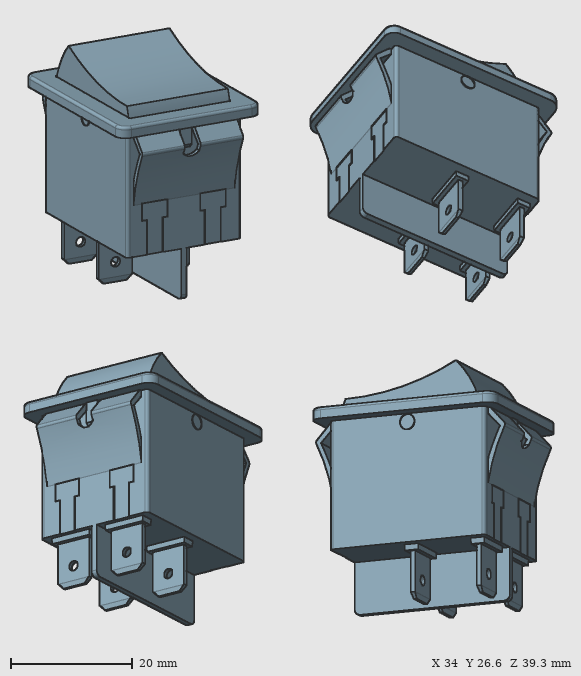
import cadquery as cq
import math

body_bottom = 8.95
flange_bottom = 30.7
flange_thickness = 2.0
flange_top = flange_bottom + flange_thickness
rocker_peak = 39.25

body_length = 27.95
body_width = 21.6
body_corner_radius = 0.6
body_end = body_length / 2
flange_length = 33.0
flange_width = 26.6
flange_corner_radius = 1.95
flange_edge_radius = 0.5
pip_diameter = 2.6
pip_height = 0.15
pip_z = 29.3

rocker_width = 19.05
rocker_radius = 12.6
pivot_z = 29.83
rocker_peak_x = -8.15
rocker_flank_x = -10.87
rocker_flank_z = 35.7
rocker_flank_foot_z = 31.25
rocker_low_end_x = 11.7
rocker_dish_x = 1.57
rocker_dish_z = 35.68
slot_length = 25.5
slot_corner_radius = 0.295

clip_half_span = 17.0
clip_foot_z = 17.98
clip_embed = 0.4
clip_outer_top = (-14.35, flange_bottom)
clip_bend_start = (-16.88, 27.95)
clip_bend_tip = (-clip_half_span, 27.65)
clip_bend_end = (-16.9, 27.3)
clip_outer_middle = (-15.15, 22.92)
clip_inner_middle = (-14.68, 24.18)
clip_inner_bend = (-16.1, 27.45)
clip_inner_foot_z = 21.0
clip_inner_top_z = 30.03
clip_notch_width = 3.0
clip_notch_side_z = 26.5
clip_notch_bottom_z = 25.63
catch_width = 2.2
catch_depth = 0.65
catch_bottom = 26.45

recess_y = 5.5
recess_depth = 0.1
recess_head_width = 4.8
recess_head_bottom = 14.95
recess_stem_width = 2.9
recess_step_width = 0.15

terminal_columns = (-11.9, 0.0)
terminal_y = 5.38
pad_length = 2.47
pad_width = 7.58
pad_height = 1.0
pad_draft_angle = 4.0
blade_thickness = 0.8
blade_width = 6.28
blade_tip_height = 1.0
blade_tip_bevel = 0.137
blade_hole_diameter = 1.7
blade_hole_z = 3.55
wall_thickness = 1.02
wall_corner_radius = 1.0


def make_housing():
    """Rounded body with the flange on top and a round pip on each long side."""
    body = (
        cq.Workplane("XY", origin=(0, 0, body_bottom))
        .rect(body_length, body_width)
        .extrude(flange_bottom - body_bottom)
        .edges("|Z")
        .fillet(body_corner_radius)
    )
    flange = (
        cq.Workplane("XY", origin=(0, 0, flange_bottom))
        .rect(flange_length, flange_width)
        .extrude(flange_thickness)
        .edges("|Z")
        .fillet(flange_corner_radius)
        .faces(">Z")
        .edges()
        .fillet(flange_edge_radius)
    )
    pips = (
        cq.Workplane("XZ", origin=(0, 0, pip_z))
        .circle(pip_diameter / 2)
        .extrude(body_width / 2 + pip_height, both=True)
    )
    return body.union(flange).union(pips)


def make_rocker_slot():
    """Opening in the flange, sunk to the level of the rocker pivot."""
    return (
        cq.Workplane("XY", origin=(0, 0, pivot_z))
        .rect(slot_length, rocker_width)
        .extrude(flange_top - pivot_z)
        .edges("|Z")
        .fillet(slot_corner_radius)
    )


def make_rocker():
    """Tilted rocker: bulging high end, dished top, low end round about the pivot."""
    def low_end_z(x):
        return pivot_z + math.sqrt(rocker_radius**2 - x**2)

    low_end_middle_x = (rocker_low_end_x + rocker_radius) / 2
    return (
        cq.Workplane("XZ")
        .moveTo(-rocker_radius, pivot_z)
        .lineTo(-rocker_radius, rocker_flank_foot_z)
        .threePointArc((rocker_flank_x, rocker_flank_z), (rocker_peak_x, rocker_peak))
        .threePointArc((rocker_dish_x, rocker_dish_z), (rocker_low_end_x, low_end_z(rocker_low_end_x)))
        .threePointArc((low_end_middle_x, low_end_z(low_end_middle_x)), (rocker_radius, pivot_z))
        .close()
        .extrude(rocker_width / 2, both=True)
    )


def make_clip():
    """Bent spring clip on the -X end, notched in the middle of its upper part."""
    root_x = -body_end + clip_embed
    strip = (
        cq.Workplane("XZ")
        .moveTo(root_x, flange_bottom)
        .lineTo(*clip_outer_top)
        .lineTo(*clip_bend_start)
        .threePointArc(clip_bend_tip, clip_bend_end)
        .threePointArc(clip_outer_middle, (-body_end, clip_foot_z))
        .lineTo(root_x, clip_foot_z)
        .lineTo(root_x, clip_inner_foot_z)
        .threePointArc(clip_inner_middle, clip_inner_bend)
        .lineTo(root_x, clip_inner_top_z)
        .close()
        .extrude(rocker_width / 2, both=True)
    )
    notch_side = clip_notch_width / 2
    notch = (
        cq.Workplane("YZ", origin=(-body_end, 0, 0))
        .moveTo(-notch_side, flange_bottom)
        .lineTo(-notch_side, clip_notch_side_z)
        .threePointArc((0, clip_notch_bottom_z), (notch_side, clip_notch_side_z))
        .lineTo(notch_side, flange_bottom)
        .close()
        .extrude(body_end - clip_half_span - clip_embed)
    )
    return strip.cut(notch)


def make_catch():
    """Small rib on the -X end, standing in the notch of the clip."""
    return (
        cq.Workplane("XZ")
        .moveTo(-body_end + clip_embed, flange_bottom)
        .lineTo(-body_end - catch_depth, flange_bottom)
        .lineTo(-body_end - catch_depth, catch_bottom + catch_depth)
        .lineTo(-body_end, catch_bottom)
        .lineTo(-body_end + clip_embed, catch_bottom)
        .close()
        .extrude(catch_width / 2, both=True)
    )


def make_end_recess():
    """Shallow T-shaped recess on the +Y side of the -X end, stem stepped on its inner edge."""
    def slab(y_low, y_high, z_low, z_high, depth):
        return (
            cq.Workplane("XY")
            .box(depth, y_high - y_low, z_high - z_low, centered=False)
            .translate((-body_end, y_low, z_low))
        )

    head_half = recess_head_width / 2
    stem_half = recess_stem_width / 2
    stem_inner = recess_y - stem_half
    head = slab(recess_y - head_half, recess_y + head_half, recess_head_bottom, clip_foot_z, recess_depth)
    stem = slab(stem_inner, recess_y + stem_half, body_bottom, recess_head_bottom, recess_depth)
    step = slab(
        stem_inner - recess_step_width, stem_inner, body_bottom, recess_head_bottom, recess_depth / 2
    )
    return head.union(stem).union(step)


def make_terminal():
    """Flat blade with a pierced hole and bevelled tip, under its tapered pad, at X = Y = 0."""
    pad = (
        cq.Workplane("XY", origin=(0, 0, body_bottom))
        .rect(pad_length, pad_width)
        .extrude(-pad_height, taper=pad_draft_angle)
    )
    shank = (
        cq.Workplane("XY", origin=(0, 0, blade_tip_height))
        .rect(blade_thickness, blade_width)
        .extrude(body_bottom - blade_tip_height)
    )
    tip = (
        cq.Workplane("XY")
        .rect(blade_thickness - 2 * blade_tip_bevel, blade_width - 2 * blade_tip_height)
        .workplane(offset=blade_tip_height)
        .rect(blade_thickness, blade_width)
        .loft(ruled=True)
    )
    hole = (
        cq.Workplane("YZ", origin=(0, 0, blade_hole_z))
        .circle(blade_hole_diameter / 2)
        .extrude(blade_thickness, both=True)
    )
    return pad.union(shank).union(tip).cut(hole)


def make_partition_wall():
    """Wall along the middle of the underside, lower corners rounded."""
    return (
        cq.Workplane("XY")
        .rect(body_length, wall_thickness)
        .extrude(body_bottom)
        .faces("<Z")
        .edges("|Y")
        .fillet(wall_corner_radius)
    )


result = make_housing().cut(make_rocker_slot()).union(make_rocker())

recess = make_end_recess()
recess_pair = recess.union(recess.mirror("XZ"))
end_parts = make_clip().union(make_catch())
result = result.cut(recess_pair).cut(recess_pair.mirror("YZ"))
result = result.union(end_parts).union(end_parts.mirror("YZ"))

terminal = make_terminal()
for column_x in terminal_columns:
    for row_y in (-terminal_y, terminal_y):
        result = result.union(terminal.translate((column_x, row_y, 0)))
result = result.union(make_partition_wall())